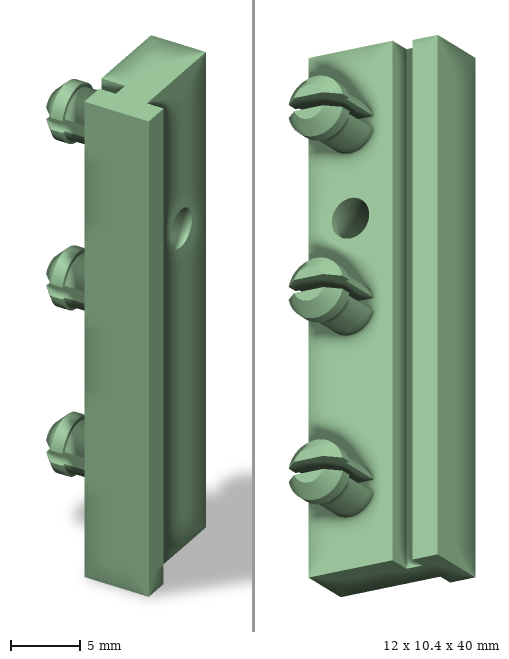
import cadquery as cq

rail_length = 40.0

plate_thickness = 4.6
plate_width = 7.0

groove_width = 1.3
groove_depth = 2.0
flange_thickness = 2.1
flange_overhang = 1.4

pin_length = 6.0
pin_shaft_diameter = 4.0
pin_head_diameter = 4.6
pin_head_length = 2.0
pin_tip_chamfer = 1.0
pin_slot_width = 1.0
pin_pitch = 14.0
pin_count = 3

hole_diameter = 3.1

plate_left_x = pin_length
plate_right_x = plate_left_x + plate_thickness
neck_left_x = plate_left_x + groove_depth
flange_left_x = neck_left_x - flange_overhang
flange_right_x = plate_right_x + flange_overhang
plate_bottom_y = flange_thickness + groove_width
plate_top_y = plate_bottom_y + plate_width
pin_y = plate_bottom_y + plate_width / 2
middle_z = rail_length / 2
pin_heights = [middle_z + (i - (pin_count - 1) / 2) * pin_pitch for i in range(pin_count)]
hole_z = middle_z + pin_pitch / 2


def make_rail():
    """Plate, neck and flange as one constant section along Z."""
    return (
        cq.Workplane("XY")
        .moveTo(flange_left_x, 0)
        .lineTo(flange_right_x, 0)
        .lineTo(flange_right_x, flange_thickness)
        .lineTo(plate_right_x, flange_thickness)
        .lineTo(plate_right_x, plate_top_y)
        .lineTo(plate_left_x, plate_top_y)
        .lineTo(plate_left_x, plate_bottom_y)
        .lineTo(neck_left_x, plate_bottom_y)
        .lineTo(neck_left_x, flange_thickness)
        .lineTo(flange_left_x, flange_thickness)
        .close()
        .extrude(rail_length)
    )


def make_pin(pin_z):
    """Snap pin along X with a chamfered head, split by a horizontal slot down to the plate."""
    shaft_radius = pin_shaft_diameter / 2
    head_radius = pin_head_diameter / 2
    solid_pin = (
        cq.Workplane("XY")
        .lineTo(0, head_radius - pin_tip_chamfer)
        .lineTo(pin_tip_chamfer, head_radius)
        .lineTo(pin_head_length, head_radius)
        .lineTo(pin_head_length, shaft_radius)
        .lineTo(pin_length, shaft_radius)
        .lineTo(pin_length, 0)
        .close()
        .revolve(360, (0, 0, 0), (1, 0, 0))
    )
    slot = cq.Workplane("XY").box(
        pin_length, pin_head_diameter, pin_slot_width, centered=(False, True, True)
    )
    return solid_pin.cut(slot).translate((0, pin_y, pin_z))


def make_hole():
    """Cylinder through the plate along X."""
    return (
        cq.Workplane("YZ", origin=(plate_left_x, 0, 0))
        .center(pin_y, hole_z)
        .circle(hole_diameter / 2)
        .extrude(plate_thickness)
    )


result = make_rail().cut(make_hole())
for height in pin_heights:
    result = result.union(make_pin(height))